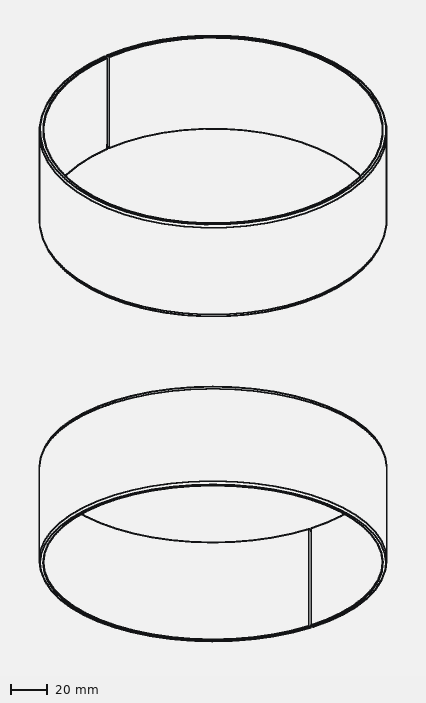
import cadquery as cq

outer_diameter = 190.0
wall = 2.5
length = 60.0
slit_width = 1.5
outer_chamfer_length = 1.7
outer_chamfer_depth = 0.5
inner_chamfer = 0.4

outer_radius = outer_diameter / 2
inner_radius = outer_radius - wall
half_length = length / 2


def wall_ring():
    """Revolve the wall section, chamfered at both ends, about Z."""
    outer_chamfer_z = half_length - outer_chamfer_length
    inner_chamfer_z = half_length - inner_chamfer
    outer_rim_radius = outer_radius - outer_chamfer_depth
    inner_rim_radius = inner_radius + inner_chamfer
    section = [
        (inner_radius, -inner_chamfer_z),
        (inner_rim_radius, -half_length),
        (outer_rim_radius, -half_length),
        (outer_radius, -outer_chamfer_z),
        (outer_radius, outer_chamfer_z),
        (outer_rim_radius, half_length),
        (inner_rim_radius, half_length),
        (inner_radius, inner_chamfer_z),
    ]
    return cq.Workplane("XZ").polyline(section).close().revolve(360, (0, 0), (0, 1))


def slit_cutter():
    """Box that splits the -X wall over the full length, with one slit face on the XZ plane."""
    cutter_depth = 4 * wall
    cutter = cq.Workplane("XY").box(cutter_depth, slit_width, 2 * length)
    return cutter.translate((-outer_radius, slit_width / 2, 0))


result = wall_ring().cut(slit_cutter())